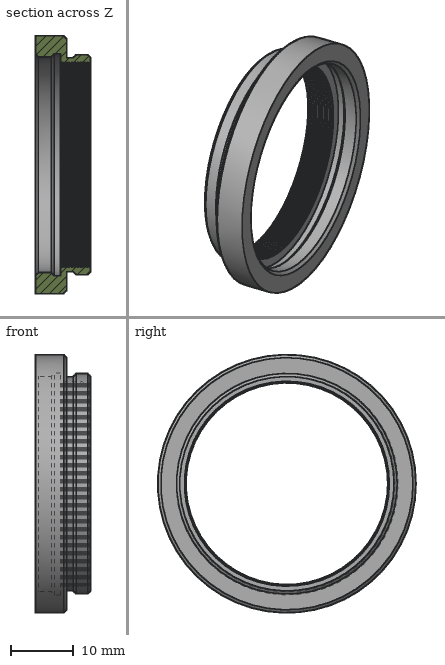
import cadquery as cq
import math

flange_diameter = 41.0
flange_length = 5.0

spigot_diameter = 35.0
relief_diameter = 34.0
relief_length = 1.0
total_length = 8.8

socket_diameter = 34.2
socket_relief_diameter = 35.2
socket_relief_length = 1.0
socket_depth = 4.0

bore_diameter = 32.0
groove_diameter = 32.52
groove_pitch = 0.5
groove_angle = 60
groove_floor_width = 0.1

edge_chamfer = 0.5
spigot_chamfer = (spigot_diameter - relief_diameter) / 2
socket_chamfer = (socket_relief_diameter - socket_diameter) / 2


def revolve_profile(points):
    """Revolve a closed (x, radius) outline about the X axis."""
    profile = cq.Workplane("XY").polyline(points).close()
    return profile.revolve(360, (0, 0, 0), (1, 0, 0))


def make_body():
    flange_radius = flange_diameter / 2
    spigot_radius = spigot_diameter / 2
    relief_radius = relief_diameter / 2
    relief_end = flange_length + relief_length
    return revolve_profile([
        (0, 0),
        (0, flange_radius),
        (flange_length - edge_chamfer, flange_radius),
        (flange_length, flange_radius - edge_chamfer),
        (flange_length, relief_radius),
        (relief_end, relief_radius),
        (relief_end + spigot_chamfer, spigot_radius),
        (total_length - spigot_chamfer, spigot_radius),
        (total_length, relief_radius),
        (total_length, 0),
    ])


def make_socket():
    socket_radius = socket_diameter / 2
    socket_relief_radius = socket_relief_diameter / 2
    relief_start = socket_depth - socket_relief_length
    return revolve_profile([
        (0, 0),
        (0, socket_relief_radius),
        (socket_chamfer, socket_radius),
        (relief_start - socket_chamfer, socket_radius),
        (relief_start, socket_relief_radius),
        (socket_depth, socket_relief_radius),
        (socket_depth, 0),
    ])


def make_bore():
    """Bore running from the bottom of the socket to the +X end."""
    bore = cq.Workplane("YZ").workplane(offset=socket_depth).circle(bore_diameter / 2)
    return bore.extrude(total_length - socket_depth)


def make_bore_grooves():
    """Flat-floored V grooves along the bore; the last one runs out through the +X end."""
    bore_radius = bore_diameter / 2
    groove_radius = groove_diameter / 2
    flank_width = (groove_radius - bore_radius) * math.tan(math.radians(groove_angle / 2))
    groove_width = 2 * flank_width + groove_floor_width
    land_width = groove_pitch - groove_width
    groove_count = math.ceil((total_length - socket_depth - land_width) / groove_pitch)

    points = [(socket_depth, bore_radius / 2)]
    for index in range(groove_count):
        start = socket_depth + land_width + index * groove_pitch
        points.append((start, bore_radius))
        points.append((start + flank_width, groove_radius))
        points.append((start + flank_width + groove_floor_width, groove_radius))
        points.append((start + groove_width, bore_radius))
    points.append((start + groove_width, bore_radius / 2))
    return revolve_profile(points)


result = make_body().cut(make_socket()).cut(make_bore()).cut(make_bore_grooves())